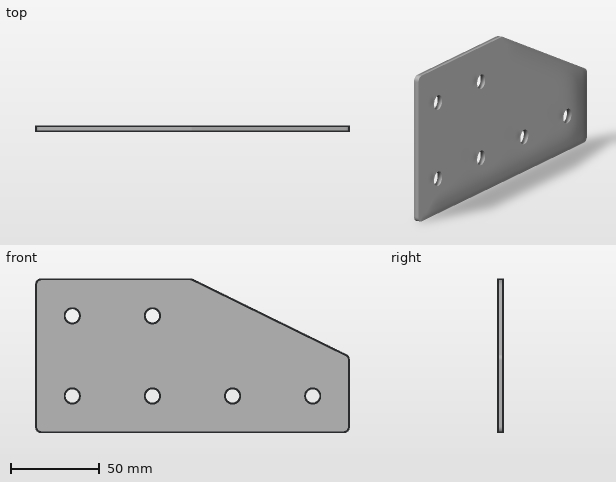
import cadquery as cq

length = 176.0
height = 86.0
thickness = 3.0
corner_radius = 3.0

top_edge_length = 87.5
right_edge_height = 42.6

hole_diameter = 8.5
hole_edge_distance = 20.5
bottom_row_count = 4
top_row_count = 2
hole_pitch = (length - 2 * hole_edge_distance) / (bottom_row_count - 1)


def make_plate():
    """Five-sided plate standing in the XZ plane, with all corners rounded."""
    outline = [
        (0, 0),
        (length, 0),
        (length, right_edge_height),
        (top_edge_length, height),
        (0, height),
    ]
    plate = cq.Workplane("XZ").polyline(outline).close().extrude(-thickness)
    return plate.edges("|Y").fillet(corner_radius)


def hole_row(count, z):
    """Centres of one horizontal row of holes, starting at the left."""
    return [(hole_edge_distance + i * hole_pitch, z) for i in range(count)]


def make_hole_cutters():
    """Cylinders through the thickness at every hole centre."""
    bottom_row = hole_row(bottom_row_count, hole_edge_distance)
    top_row = hole_row(top_row_count, hole_edge_distance + hole_pitch)
    centres = bottom_row + top_row
    return cq.Workplane("XZ").pushPoints(centres).circle(hole_diameter / 2).extrude(-thickness)


result = make_plate().cut(make_hole_cutters())